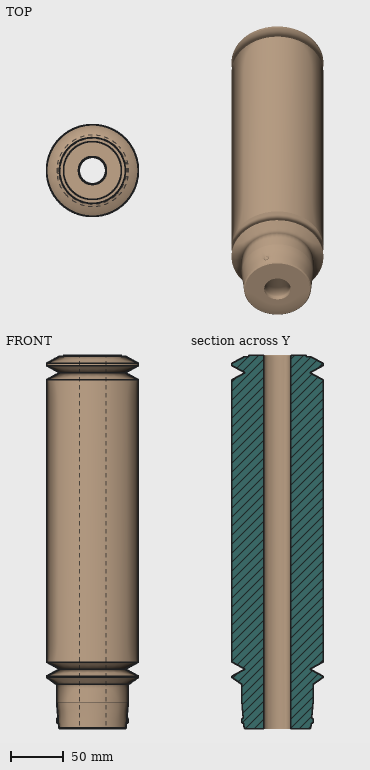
import cadquery as cq

total_height = 354.2
body_radius = 87.0 / 2
neck_radius = 31.0
bore_diameter = 25.0
bore_chamfer = 0.7

face_radius = 55.0 / 2
face_height = 1.0

cone_height = 6.7
top_rim_height = 2.0
bottom_rim_height = 1.0
lower_flange_bottom = 42.0

spigot_radius = 34.0
spigot_taper_start = 25.0
spigot_end_radius = 32.0
end_chamfer = 1.0

pin_diameter = 5.0
pin_height = 7.8
pin_chamfer = 1.0

shoulder_top = total_height - face_height
top_rim_top = shoulder_top - cone_height
top_rim_bottom = top_rim_top - top_rim_height
upper_neck = top_rim_bottom - cone_height
body_top = upper_neck - cone_height

lower_rim_bottom = lower_flange_bottom + cone_height
lower_rim_top = lower_rim_bottom + bottom_rim_height
lower_neck = lower_rim_top + cone_height
body_bottom = lower_neck + cone_height


def revolved_body():
    """Spigot, flanges, grooves and main cylinder in one revolved half profile."""
    profile = (
        cq.Workplane("XZ")
        .lineTo(spigot_end_radius - end_chamfer, 0)
        .lineTo(spigot_end_radius, end_chamfer)
        .lineTo(spigot_radius, spigot_taper_start)
        .lineTo(spigot_radius, lower_flange_bottom)
        .lineTo(body_radius, lower_rim_bottom)
        .lineTo(body_radius, lower_rim_top)
        .lineTo(neck_radius, lower_neck)
        .lineTo(body_radius, body_bottom)
        .lineTo(body_radius, body_top)
        .lineTo(neck_radius, upper_neck)
        .lineTo(body_radius, top_rim_bottom)
        .lineTo(body_radius, top_rim_top)
        .lineTo(neck_radius, shoulder_top)
        .lineTo(face_radius, shoulder_top)
        .lineTo(face_radius, total_height)
        .lineTo(0, total_height)
        .close()
    )
    return profile.revolve(360, (0, 0, 0), (0, 1, 0))


def cross_pin():
    """Pin along X whose chamfered ends reach the full spigot radius."""
    return (
        cq.Workplane("YZ")
        .center(0, pin_height)
        .circle(pin_diameter / 2)
        .extrude(spigot_radius, both=True)
        .faces("<X or >X")
        .chamfer(pin_chamfer)
    )


def through_bore():
    """Cutter for the central bore, flared at the top to chamfer its rim."""
    bore = cq.Workplane("XY").circle(bore_diameter / 2).extrude(total_height)
    flare = (
        cq.Workplane("XY", origin=(0, 0, total_height))
        .circle(bore_diameter / 2 + bore_chamfer)
        .workplane(offset=-bore_chamfer)
        .circle(bore_diameter / 2)
        .loft()
    )
    return bore.union(flare)


result = revolved_body().union(cross_pin()).cut(through_bore())